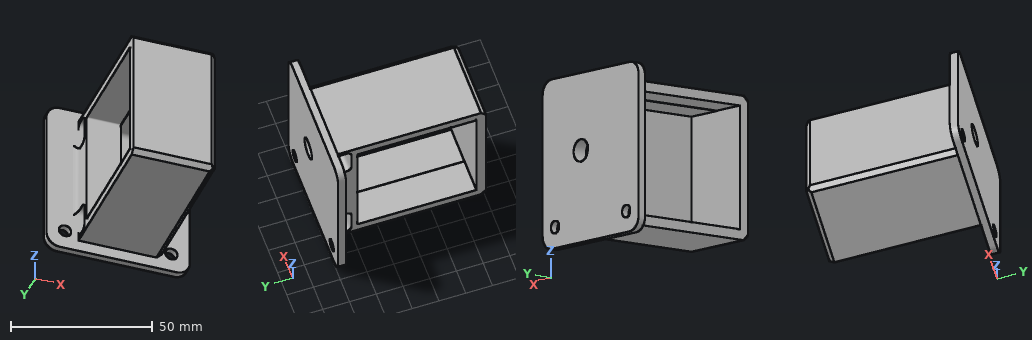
import cadquery as cq

plate_width = 54.0
plate_height = 61.0
plate_thickness = 3.0
plate_corner_radius = 5.0
screw_hole_diameter = 4.5
screw_hole_x = 20.0
screw_hole_z = -22.95

total_depth = 59.5
box_left = -15.0
box_width = 31.3
box_height = 52.0
box_chamfer = 1.9
box_right = box_left + box_width

front_wall = 3.65
opening_size = 44.45
opening_depth = 12.95
opening_corner_radius = 0.5
cavity_depth = 27.2
cavity_back_wall = 5.55
cavity_drop = 0.1
cavity_corner_radius = 2.0
cavity_front = front_wall - total_depth

cable_hole_diameter = 8.0
cable_hole_x = 5.5
cable_hole_z = 2.55

slot_width = 6.1
slot_height = 11.2
slot_corner_radius = 2.0
slot_center_z = 19.1
slot_depth = 10.0

root_fillet_radius = 2.0
root_fillet_height = 2 * (slot_center_z - slot_height / 2 + slot_corner_radius)


def block(x_min, x_max, y_min, y_max, height):
    """Rectangular block centred on Z = 0."""
    size = (x_max - x_min, y_max - y_min, height)
    return cq.Workplane("XY").box(*size, centered=(False, False, True)).translate((x_min, y_min, 0))


def make_plate():
    half_width = plate_width / 2
    plate = block(-half_width, half_width, -plate_thickness, 0, plate_height)
    plate = plate.edges("|Y").fillet(plate_corner_radius)
    holes = (
        cq.Workplane("XZ")
        .pushPoints([(-screw_hole_x, screw_hole_z), (screw_hole_x, screw_hole_z)])
        .circle(screw_hole_diameter / 2)
        .extrude(plate_thickness)
    )
    return plate.cut(holes)


def make_box():
    box = block(box_left, box_right, -total_depth, -plate_thickness, box_height)
    side_chamfered = box.faces(">X").edges("|Y").chamfer(box_chamfer)
    front_chamfered = box.faces("<Y").edges("|X").chamfer(box_chamfer)
    corner_chamfered = box.edges(">X and <Y").chamfer(box_chamfer)
    return side_chamfered.intersect(front_chamfered).intersect(corner_chamfered)


def make_root_fillet():
    plate_front = -plate_thickness
    return (
        cq.Workplane("XY", origin=(0, 0, -root_fillet_height / 2))
        .moveTo(box_left, plate_front)
        .lineTo(box_left - root_fillet_radius, plate_front)
        .radiusArc((box_left, plate_front - root_fillet_radius), root_fillet_radius)
        .close()
        .extrude(root_fillet_height)
    )


def make_opening():
    opening_back = cavity_front + opening_size
    opening = block(box_left, box_left + opening_depth, cavity_front, opening_back, opening_size)
    return opening.faces(">Y").edges("|X").fillet(opening_corner_radius)


def make_chamber():
    chamber_left = box_left + opening_depth
    chamber_right = box_left + cavity_depth
    chamber = block(chamber_left, chamber_right, cavity_front, -cavity_back_wall, opening_size)
    return chamber.faces(">Y").edges("|X").fillet(cavity_corner_radius).translate((0, 0, -cavity_drop))


def make_cable_hole():
    return (
        cq.Workplane("XZ")
        .center(cable_hole_x, cable_hole_z)
        .circle(cable_hole_diameter / 2)
        .extrude(cavity_back_wall)
    )


def make_slot(center_z):
    """Rounded slot that also trims the root fillet beside the box."""
    slot_back = -plate_thickness
    slot_left = box_left - root_fillet_radius
    slot = block(slot_left, box_left + slot_depth, slot_back - slot_width, slot_back, slot_height)
    return slot.edges("|X").fillet(slot_corner_radius).translate((0, 0, center_z))


result = make_plate().union(make_box()).union(make_root_fillet())
result = result.cut(make_opening()).cut(make_chamber()).cut(make_cable_hole())
for slot_z in (-slot_center_z, slot_center_z):
    result = result.cut(make_slot(slot_z))